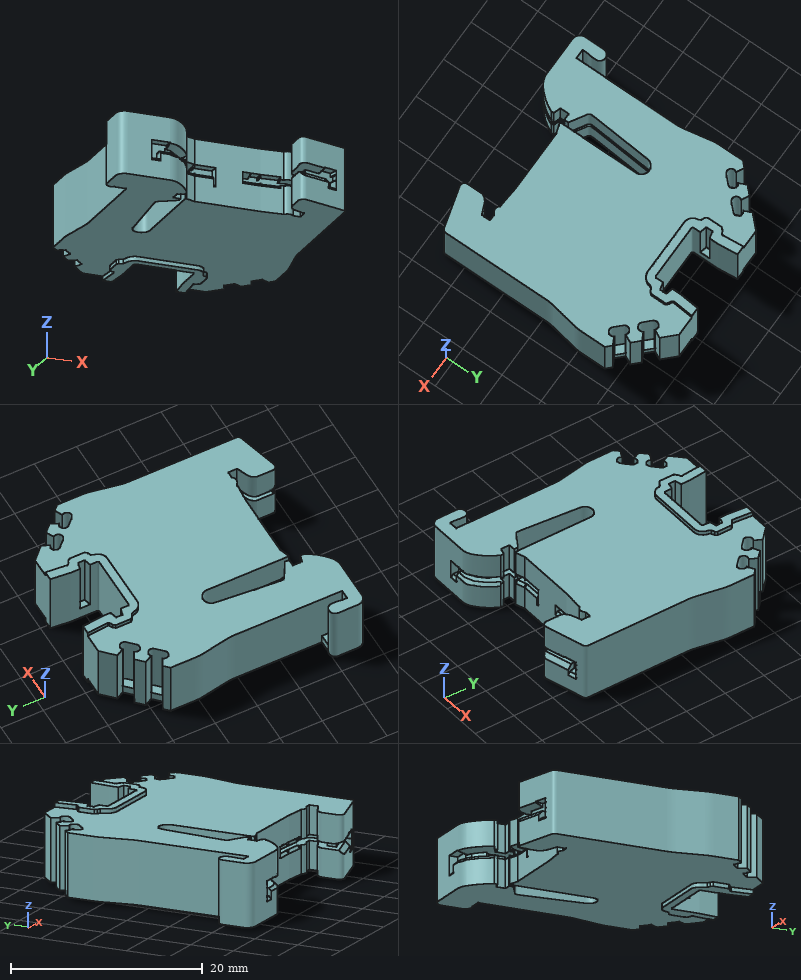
import cadquery as cq
import math


HEIGHT = 28.2
THICKNESS = 7.05
HALF_WIDTH_TOP = 12.58
HALF_WIDTH_LOW = 11.82
FLARE_TOP_Y = 19.18
FLARE_LOW_Y = 15.1
FLARE_RADIUS = 5.22
SHOULDER_LEG = 5.59
SIDE_FLOOR = 1.07

RIM_RAISE = 0.48
MOUTH_FLOOR_Y = 22.6
MOUTH_HALF_FLOOR = 3.39
MOUTH_HALF_TOP = 3.6
MOUTH_TAPER_Y = 25.9
MOUTH_RADIUS = 0.17
RIM_FLOOR_Y = 21.6

FIRST_NOTCH = 3.02
NOTCH_PITCH = 3.1
NOTCH_OUTER = 1.85
NOTCH_INNER = 1.25
NOTCH_DEPTH = 0.95
PILL_LENGTH = 2.17
PILL_WIDTH = 1.05

HOOK_X = -14.27
HOOK_TOP_Y = 4.37
HOOK_WIDTH = 1.45
HOOK_RADIUS = 1.02
HOOK_SLOT_FLOOR_Y = 1.9
HOOK_SLOT_LOW_X = -12.92
HOOK_WEB_TOP_Y = 4.3
HOOK_BEND_LOW_Y = 2.55
HOOK_BEND_TOP_Y = 3.1

FOOT_BOTTOM_Y = 0.3
BLANK_BOTTOM_Y = -0.28
SLIT_RADIUS = 0.95
SLIT_RIGHT_X = -5.05
SLIT_CENTER_Y = 14.27
SEAT_Y = 4.95
GRIP_Y = 4.77
SPRUNG_TIP_X = -5.5
FIXED_TIP_X = 6.07
FIXED_BOTTOM_ANGLE = 15.7
FIXED_TOE_RADIUS = 0.56
FIXED_HEEL_RADIUS = 0.5
OUTSIDE = 16.93

GROOVE_LOW_Z = 3.2
GROOVE_HIGH_Z = 3.85
GROOVE_MOUTH_Z = 4.15
GROOVE_DEPTH = 1.02
GROOVE_END_X = 10.58
GROOVE_GAP = (-1.47, 1.6)
LIP_FLARE = 0.3
FIXED_LIP_FLARE = 0.5
LEG_LOW_Z = 2.3
LEG_HIGH_Z = 4.23
LEG_INNER_X = 9.6
MIDDLE_LEG_WIDTH = 0.2
FIXED_STEP_X = 9.1
SEAT_STEP_X = 2.57

NOSE_START = (-8.52, FOOT_BOTTOM_Y)
NOSE_END = (-7.35, 0.75)
JAW_MIDDLE = (-6.3, 1.8)
JAW_END = (SPRUNG_TIP_X, 3.07)
SEAT_LIP = (-4.9, 4.57)
SEAT_LEFT = (-3.8, SEAT_Y)
SEAT_RIGHT = (3.6, SEAT_Y)
SEAT_END = (5.8, GRIP_Y)


def fixed_bottom_y(x):
    """Height of the sloped underside of the fixed foot, whose rounded toe touches Y = 0."""
    slope = math.radians(FIXED_BOTTOM_ANGLE)
    toe_center_x = FIXED_TIP_X + FIXED_TOE_RADIUS
    line_below_center = FIXED_TOE_RADIUS - FIXED_TOE_RADIUS / math.cos(slope)
    return line_below_center + (x - toe_center_x) * math.tan(slope)


def prism(profile, low, high):
    """Extrude a closed XY profile between two heights."""
    return profile.extrude(high - low).translate((0, 0, low))


def box(x_range, y_range, z_range):
    corners = [x_range, y_range, z_range]
    size = [high - low for low, high in corners]
    start = [low for low, high in corners]
    return cq.Workplane("XY").box(*size, centered=False).translate(tuple(start))


def mirrored_outline(right_half):
    """Closed polyline from the points of its right half, listed top to bottom."""
    left_half = [(-x, y) for x, y in reversed(right_half)]
    return cq.Workplane("XY").polyline(right_half + left_half).close()


def round_corner(part, x, y, radius):
    """Round the full-height edge nearest to a plan position."""
    nearest = cq.selectors.NearestToPointSelector((x, y, THICKNESS / 2))
    return part.edges("|Z").edges(nearest).fillet(radius)


def body_block():
    block = prism(mirrored_outline([
        (HALF_WIDTH_TOP - SHOULDER_LEG, HEIGHT),
        (HALF_WIDTH_TOP, HEIGHT - SHOULDER_LEG),
        (HALF_WIDTH_TOP, FLARE_TOP_Y),
        (HALF_WIDTH_LOW, FLARE_LOW_Y),
        (HALF_WIDTH_LOW, BLANK_BOTTOM_Y),
    ]), 0, THICKNESS)
    for side in (-1, 1):
        block = round_corner(block, side * HALF_WIDTH_TOP, FLARE_TOP_Y, FLARE_RADIUS)
        block = round_corner(block, side * HALF_WIDTH_LOW, FLARE_LOW_Y, FLARE_RADIUS)
    return block


def release_hook():
    """J-shaped hook standing left of the body, with a thin web closing its slot."""
    right = HOOK_X + HOOK_WIDTH
    tip_radius = HOOK_WIDTH / 2
    hook = prism(
        cq.Workplane("XY")
        .moveTo(HOOK_X, BLANK_BOTTOM_Y)
        .lineTo(HOOK_X, HOOK_TOP_Y - tip_radius)
        .threePointArc((HOOK_X + tip_radius, HOOK_TOP_Y), (right, HOOK_TOP_Y - tip_radius))
        .lineTo(right, HOOK_BEND_TOP_Y)
        .lineTo(HOOK_SLOT_LOW_X, HOOK_BEND_LOW_Y)
        .lineTo(HOOK_SLOT_LOW_X, HOOK_SLOT_FLOOR_Y)
        .lineTo(-HALF_WIDTH_LOW, HOOK_SLOT_FLOOR_Y)
        .lineTo(-HALF_WIDTH_LOW, BLANK_BOTTOM_Y)
        .close(), 0, THICKNESS)
    web = box((HOOK_X + tip_radius, -HALF_WIDTH_LOW), (FOOT_BOTTOM_Y, HOOK_WEB_TOP_Y), (0, SIDE_FLOOR))
    return hook.union(web)


def rail_opening():
    """Profile of all free space below the block: feet undersides, rail seat and slit."""
    slit_center_x = SLIT_RIGHT_X - SLIT_RADIUS
    return (
        cq.Workplane("XY")
        .moveTo(-OUTSIDE, FOOT_BOTTOM_Y)
        .lineTo(*NOSE_START)
        .threePointArc((-7.9, 0.45), NOSE_END)
        .threePointArc(JAW_MIDDLE, JAW_END)
        .lineTo(SPRUNG_TIP_X, 3.45)
        .lineTo(-6.32, 3.7)
        .lineTo(-6.32, GRIP_Y)
        .lineTo(SPRUNG_TIP_X, GRIP_Y)
        .lineTo(SPRUNG_TIP_X, 5.28)
        .lineTo(-7.33, 6.38)
        .threePointArc((-7.53, 6.55), (-7.6, 6.8))
        .lineTo(-7.55, 7.33)
        .lineTo(slit_center_x - SLIT_RADIUS, SLIT_CENTER_Y)
        .threePointArc((slit_center_x, SLIT_CENTER_Y + SLIT_RADIUS), (SLIT_RIGHT_X, SLIT_CENTER_Y))
        .lineTo(SLIT_RIGHT_X, SEAT_LIP[1])
        .lineTo(*SEAT_LIP)
        .lineTo(*SEAT_LEFT)
        .lineTo(*SEAT_RIGHT)
        .lineTo(*SEAT_END)
        .lineTo(6.15, GRIP_Y)
        .threePointArc((6.69, 4.49), (7.22, GRIP_Y))
        .lineTo(8.0, GRIP_Y)
        .lineTo(8.0, 3.72)
        .lineTo(6.8, 3.22)
        .threePointArc((6.32, 2.88), (FIXED_TIP_X, 2.37))
        .lineTo(FIXED_TIP_X, fixed_bottom_y(FIXED_TIP_X))
        .lineTo(OUTSIDE, fixed_bottom_y(OUTSIDE))
        .lineTo(OUTSIDE, -OUTSIDE)
        .lineTo(-OUTSIDE, -OUTSIDE)
        .close()
    )


def rim():
    """Raised border around the mouth, standing proud of both faces."""
    outline = [
        (4.68, HEIGHT), (4.45, 25.73), (4.55, 25.55), (4.95, 25.35), (5.13, 25.1),
        (5.13, 23.33), (4.95, 23.08), (4.55, 22.9), (4.4, 22.62),
    ]
    floor_end = (3.15, RIM_FLOOR_Y)
    arc_middle = (4.05, 21.92)
    profile = cq.Workplane("XY").polyline(outline)
    profile = profile.threePointArc(arc_middle, floor_end)
    profile = profile.lineTo(-floor_end[0], floor_end[1])
    profile = profile.threePointArc((-arc_middle[0], arc_middle[1]), (-outline[-1][0], outline[-1][1]))
    for x, y in reversed(outline[:-1]):
        profile = profile.lineTo(-x, y)
    return prism(profile.close(), -RIM_RAISE, THICKNESS + RIM_RAISE)


def mouth():
    cutter = prism(mirrored_outline([
        (MOUTH_HALF_TOP, HEIGHT),
        (MOUTH_HALF_FLOOR, MOUTH_TAPER_Y),
        (MOUTH_HALF_FLOOR, MOUTH_FLOOR_Y),
    ]), -RIM_RAISE, THICKNESS + RIM_RAISE)
    for side in (-1, 1):
        cutter = round_corner(cutter, side * MOUTH_HALF_FLOOR, MOUTH_FLOOR_Y, MOUTH_RADIUS)
    return cutter


def mouth_pockets():
    """Shallow tapered recesses facing each other in the mouth walls."""
    outline = mirrored_outline([
        (MOUTH_HALF_FLOOR, 24.8),
        (4.2, 24.6),
        (4.2, 23.8),
        (MOUTH_HALF_FLOOR, 23.6),
    ])
    return prism(outline, SIDE_FLOOR, THICKNESS + RIM_RAISE)


def marker_notch(distance):
    """Notch through the right shoulder, with a rounded slot behind it."""
    step = distance / math.sqrt(2)
    corner_x = HALF_WIDTH_TOP - SHOULDER_LEG
    plane = cq.Plane(origin=(corner_x + step, HEIGHT - step, 0), xDir=(1, -1, 0), normal=(0, 0, 1))
    flare = cq.Workplane(plane).polyline([
        (-NOTCH_OUTER / 2, 0),
        (NOTCH_OUTER / 2, 0),
        (NOTCH_INNER / 2, -NOTCH_DEPTH),
        (-NOTCH_INNER / 2, -NOTCH_DEPTH),
    ]).close()
    pill = cq.Workplane(plane).center(0, -NOTCH_DEPTH - PILL_WIDTH / 2).slot2D(PILL_LENGTH, PILL_WIDTH)
    return prism(flare, 0, THICKNESS).union(prism(pill, SIDE_FLOOR, THICKNESS))


def groove_stretch(start, end, low_z, ceiling, flare=LIP_FLARE):
    """Groove entry along a bottom face between two plan points.

    The lower edge flares outwards at 45 degrees; ceiling is the height of the
    upper side at the face and at the back of the groove.
    """
    run = (end[0] - start[0], end[1] - start[1], 0)
    plane = cq.Plane(origin=(start[0], start[1], 0), xDir=(-run[1], run[0], 0), normal=run)
    face_high, back_high = ceiling
    return cq.Workplane(plane).polyline([
        (-flare, low_z - 2 * flare),
        (flare, low_z),
        (GROOVE_DEPTH, low_z),
        (GROOVE_DEPTH, back_high),
        (0, face_high),
        (-flare, face_high),
    ]).close().extrude(math.hypot(run[0], run[1]))


def rail_groove():
    grown = prism(rail_opening().offset2D(GROOVE_DEPTH), GROOVE_LOW_Z, GROOVE_HIGH_Z)
    gap_left, gap_right = GROOVE_GAP
    left = box((-GROOVE_END_X, gap_left), (0, HEIGHT), (0, THICKNESS))
    right = box((gap_right, GROOVE_END_X), (0, HEIGHT), (0, THICKNESS))
    groove = grown.intersect(left.union(right))

    sloped = (GROOVE_MOUTH_Z, GROOVE_HIGH_Z)
    level = (GROOVE_MOUTH_Z, GROOVE_MOUTH_Z)
    tall = (LEG_HIGH_Z, LEG_HIGH_Z)
    hook_end = (-GROOVE_END_X, FOOT_BOTTOM_Y)
    hook_leg = (-LEG_INNER_X, FOOT_BOTTOM_Y)
    seat_leg = (gap_left - MIDDLE_LEG_WIDTH, SEAT_Y)
    seat_gap_left = (gap_left, SEAT_Y)
    seat_gap_right = (gap_right, SEAT_Y)
    seat_step = (SEAT_STEP_X, SEAT_Y)
    toe, fixed_step, fixed_leg, fixed_end = [
        (x, fixed_bottom_y(x)) for x in (FIXED_TIP_X, FIXED_STEP_X, LEG_INNER_X, GROOVE_END_X)
    ]
    stretches = [
        (hook_end, hook_leg, LEG_LOW_Z, tall),
        (hook_leg, NOSE_START, GROOVE_LOW_Z, tall),
        (NOSE_START, NOSE_END, GROOVE_LOW_Z, sloped),
        (NOSE_END, JAW_MIDDLE, GROOVE_LOW_Z, sloped),
        (JAW_MIDDLE, JAW_END, GROOVE_LOW_Z, sloped),
        (SEAT_LIP, SEAT_LEFT, GROOVE_LOW_Z, sloped),
        (SEAT_LEFT, seat_gap_left, GROOVE_LOW_Z, level),
        (seat_leg, seat_gap_left, LEG_LOW_Z, level),
        (seat_gap_right, seat_step, GROOVE_LOW_Z, sloped),
        (seat_step, SEAT_RIGHT, GROOVE_LOW_Z, level),
        (SEAT_RIGHT, SEAT_END, GROOVE_LOW_Z, level),
        (toe, fixed_step, GROOVE_LOW_Z, sloped, FIXED_LIP_FLARE),
        (fixed_step, fixed_leg, GROOVE_LOW_Z, tall, FIXED_LIP_FLARE),
        (fixed_leg, fixed_end, LEG_LOW_Z, tall),
    ]
    for stretch in stretches:
        groove = groove.union(groove_stretch(*stretch))
    return groove


result = body_block().union(release_hook())
result = result.cut(prism(rail_opening(), 0, THICKNESS))
result = round_corner(result, HOOK_X, FOOT_BOTTOM_Y, HOOK_RADIUS)
result = round_corner(result, FIXED_TIP_X, fixed_bottom_y(FIXED_TIP_X), FIXED_TOE_RADIUS)
result = round_corner(result, HALF_WIDTH_LOW, fixed_bottom_y(HALF_WIDTH_LOW), FIXED_HEEL_RADIUS)

result = result.union(rim()).cut(mouth()).cut(mouth_pockets())
for index in range(2):
    notch = marker_notch(FIRST_NOTCH + index * NOTCH_PITCH)
    result = result.cut(notch).cut(notch.mirror("YZ"))

result = result.cut(rail_groove())